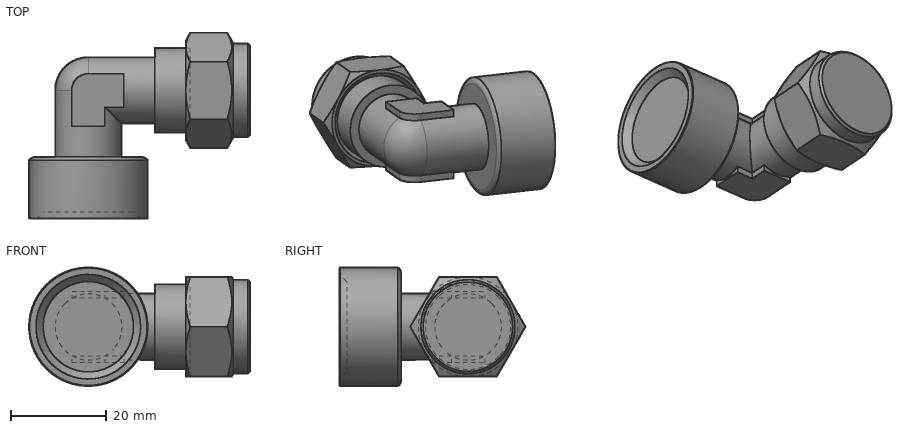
import cadquery as cq
import math


PIPE_RADIUS = 7.0

PAD_HALF_WIDTH = PIPE_RADIUS / 2
PAD_REACH = 7.5
PAD_HALF_HEIGHT = 7.5

CAP_RADIUS = 12.5
CAP_START = 14.0
CAP_LENGTH = 13.0
CAP_SHOULDER_RADIUS = 1.5
CAP_SHOULDER_LENGTH = 0.7
CAP_MOUTH_CHAMFER = 0.15
RECESS_MOUTH_RADIUS = 11.0
RECESS_FLOOR_RADIUS = 9.5
RECESS_DEPTH = RECESS_MOUTH_RADIUS - RECESS_FLOOR_RADIUS

COLLAR_RADIUS = 8.95
COLLAR_START = 14.0

NUT_START = 20.5
NUT_HEX_END = 30.5
NUT_END = 34.0
NUT_ACROSS_FLATS = 21.0
NUT_FLAT_RADIUS = NUT_ACROSS_FLATS / 2
NUT_CORNER_RADIUS = NUT_FLAT_RADIUS / math.cos(math.radians(30))
NUT_CHAMFER_SLOPE = math.tan(math.radians(30))
NUT_LIP_RADIUS = 9.9
NUT_LIP_CHAMFER = 0.5
NUT_COUNTERSINK_RADIUS = 9.8
NUT_COUNTERSINK_DEPTH = NUT_COUNTERSINK_RADIUS - COLLAR_RADIUS


def rod_along_x(radius, start, end):
    return cq.Workplane("YZ").workplane(offset=start).circle(radius).extrude(end - start)


def rod_along_minus_y(radius, start, end):
    return cq.Workplane("XZ").workplane(offset=start).circle(radius).extrude(end - start)


def turned_about_x(profile):
    """Revolve a closed (x, radius) profile about the X axis."""
    return cq.Workplane("XY").polyline(profile).close().revolve(360, (0, 0, 0), (1, 0, 0))


def make_elbow():
    corner = cq.Workplane("XY").sphere(PIPE_RADIUS)
    nut_leg = rod_along_x(PIPE_RADIUS, 0, COLLAR_START)
    cap_leg = rod_along_minus_y(PIPE_RADIUS, 0, CAP_START)
    return corner.union(nut_leg).union(cap_leg)


def make_pads():
    """One L-shaped plate through the elbow, showing as a flat pad on both sides."""
    arc_middle = PAD_HALF_WIDTH * math.cos(math.radians(45))
    return (
        cq.Workplane("XY")
        .workplane(offset=-PAD_HALF_HEIGHT)
        .moveTo(-PAD_HALF_WIDTH, 0)
        .threePointArc((-arc_middle, arc_middle), (0, PAD_HALF_WIDTH))
        .lineTo(PAD_REACH, PAD_HALF_WIDTH)
        .lineTo(PAD_REACH, -PAD_HALF_WIDTH)
        .lineTo(PAD_HALF_WIDTH, -PAD_HALF_WIDTH)
        .lineTo(PAD_HALF_WIDTH, -PAD_REACH)
        .lineTo(-PAD_HALF_WIDTH, -PAD_REACH)
        .close()
        .extrude(2 * PAD_HALF_HEIGHT)
    )


def make_cap():
    mouth = CAP_START + CAP_LENGTH
    sweep = math.acos(1 - CAP_SHOULDER_LENGTH / CAP_SHOULDER_RADIUS)
    back_radius = CAP_RADIUS - CAP_SHOULDER_RADIUS * math.sin(sweep)
    shoulder_middle = (
        back_radius + CAP_SHOULDER_RADIUS * math.sin(sweep / 2),
        -CAP_START - CAP_SHOULDER_RADIUS * (1 - math.cos(sweep / 2)),
    )
    cap = (
        cq.Workplane("XY")
        .moveTo(0, -CAP_START)
        .lineTo(back_radius, -CAP_START)
        .threePointArc(shoulder_middle, (CAP_RADIUS, -CAP_START - CAP_SHOULDER_LENGTH))
        .lineTo(CAP_RADIUS, -mouth)
        .lineTo(0, -mouth)
        .close()
        .revolve(360, (0, 0, 0), (0, 1, 0))
    )
    cap = cap.faces("<Y").edges().chamfer(CAP_MOUTH_CHAMFER)
    recess = (
        cq.Workplane("XZ")
        .workplane(offset=mouth)
        .circle(RECESS_MOUTH_RADIUS)
        .workplane(offset=-RECESS_DEPTH)
        .circle(RECESS_FLOOR_RADIUS)
        .loft(ruled=True)
    )
    return cap.cut(recess)


def make_nut():
    hexagon = (
        cq.Workplane("YZ")
        .workplane(offset=NUT_START)
        .polygon(6, 2 * NUT_CORNER_RADIUS)
        .extrude(NUT_HEX_END - NUT_START)
    )
    back_chamfer = (NUT_CORNER_RADIUS - NUT_FLAT_RADIUS) * NUT_CHAMFER_SLOPE
    front_chamfer = (NUT_CORNER_RADIUS - NUT_LIP_RADIUS) * NUT_CHAMFER_SLOPE
    envelope = turned_about_x([
        (NUT_START, 0),
        (NUT_START, NUT_FLAT_RADIUS),
        (NUT_START + back_chamfer, NUT_CORNER_RADIUS),
        (NUT_HEX_END - front_chamfer, NUT_CORNER_RADIUS),
        (NUT_HEX_END, NUT_LIP_RADIUS),
        (NUT_HEX_END, 0),
    ])
    countersink = turned_about_x([
        (NUT_START, 0),
        (NUT_START, NUT_COUNTERSINK_RADIUS),
        (NUT_START + NUT_COUNTERSINK_DEPTH, COLLAR_RADIUS),
        (NUT_START + NUT_COUNTERSINK_DEPTH, 0),
    ])
    lip = rod_along_x(NUT_LIP_RADIUS, NUT_HEX_END, NUT_END).faces(">X").edges().chamfer(NUT_LIP_CHAMFER)
    return hexagon.intersect(envelope).cut(countersink).union(lip)


collar = rod_along_x(COLLAR_RADIUS, COLLAR_START, NUT_START + NUT_COUNTERSINK_DEPTH)

result = make_elbow().union(make_pads()).union(make_cap()).union(collar).union(make_nut())